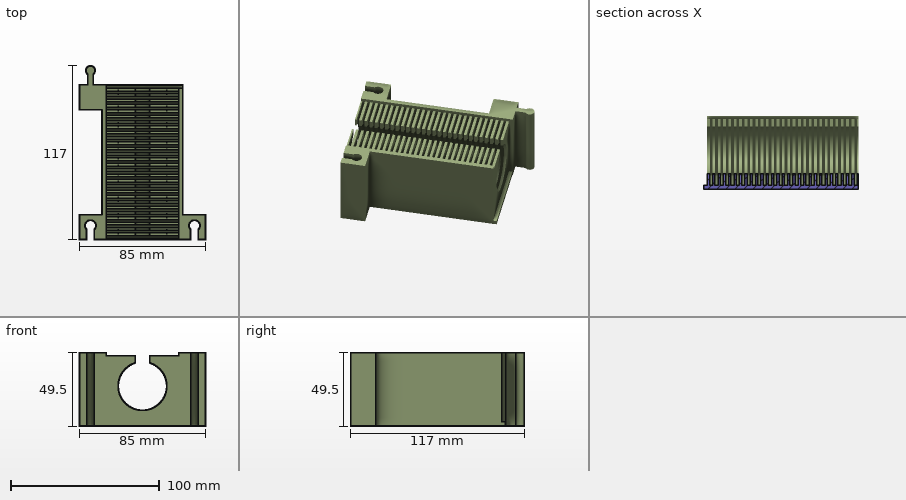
import cadquery as cq

overall_length = 117.0
overall_width = 85.0
height = 49.5

housing_length = 101.8
housing_width = 54.5
channel_width = 48.7
base_length = 104.2
fin_top = 47.4
front_plate = 1.0
fin_count = 28
fin_pitch = (housing_length - front_plate) / fin_count
gap_width = fin_pitch / 2
wall_thickness = (housing_width - channel_width) / 2
floor_height = wall_thickness

bore_radius = 16.3
bore_height = 26.9
slot_width = 9.7

foot_length = 17.0
rear_foot_end = 104.4
coupling_offset = 35.0
socket_depth = 9.5
socket_radius = 3.6
socket_neck_width = 5.0
ball_radius = 3.2
ball_neck_width = 3.7

foot_width = (overall_width - channel_width) / 2
foot_offset = (overall_width - foot_width) / 2
ball_center = overall_length - ball_radius


def block(x_center, width, y_start, y_end, z_start, z_end):
    """Box centred on x_center, running between the given Y and Z limits."""
    return cq.Workplane("XY").box(
        width, y_end - y_start, z_end - z_start, centered=(True, False, False)
    ).translate((x_center, y_start, z_start))


def keyhole(x_center, y_center, radius, neck_width, neck_end):
    """Full-height cylinder with a straight neck running from its axis to neck_end."""
    cylinder = cq.Workplane("XY").center(x_center, y_center).circle(radius).extrude(height)
    neck_start, neck_stop = sorted((y_center, neck_end))
    return cylinder.union(block(x_center, neck_width, neck_start, neck_stop, 0, height))


body = block(0, housing_width, 0, housing_length, 0, height)
body = body.union(block(0, housing_width, 0, base_length, 0, floor_height))

body = body.cut(block(0, channel_width, 0, housing_length, fin_top, height))

bore = cq.Workplane("XZ").center(0, bore_height).circle(bore_radius).extrude(-housing_length)
body = body.cut(bore)
body = body.cut(block(0, slot_width, 0, housing_length, bore_height, height))

for index in range(fin_count):
    gap_start = front_plate + index * fin_pitch
    gap_end = gap_start + gap_width
    body = body.cut(block(0, channel_width, gap_start, gap_end, floor_height, height))

for side in (-1, 1):
    body = body.union(block(side * foot_offset, foot_width, 0, foot_length, 0, height))
    socket = keyhole(side * coupling_offset, socket_depth, socket_radius, socket_neck_width, 0)
    body = body.cut(socket)

rear_foot_start = rear_foot_end - foot_length
body = body.union(block(-foot_offset, foot_width, rear_foot_start, rear_foot_end, 0, height))
ball = keyhole(-coupling_offset, ball_center, ball_radius, ball_neck_width, rear_foot_end)
body = body.union(ball)

result = body